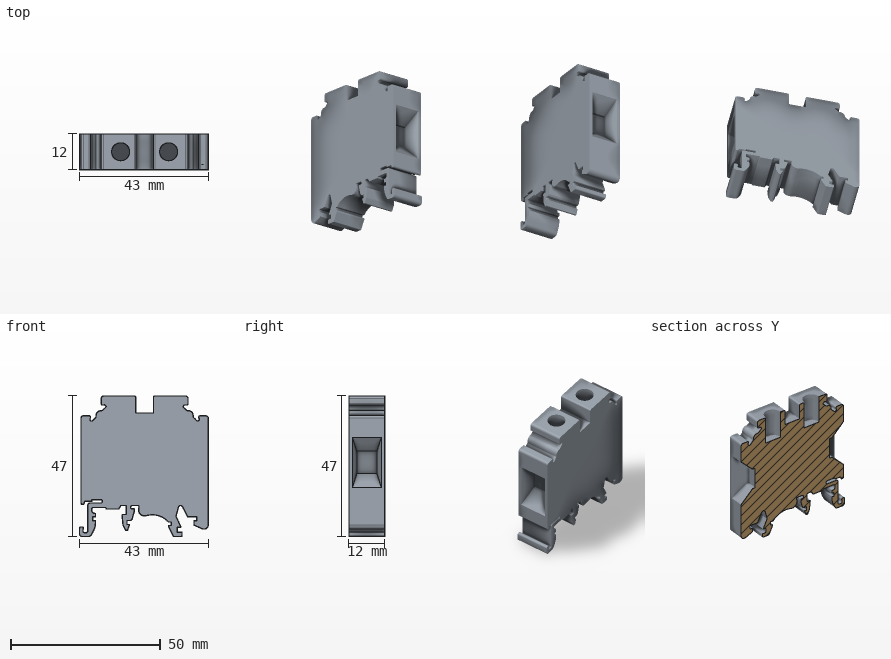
import cadquery as cq
import math


length = 43.0
thickness = 12.0
height = 46.95

body_left = 0.5
body_right = length
body_middle = (body_left + body_right) / 2
shoulder_z = 40.35
top_half_width = 14.5
centre_slot_half_width = 2.9
centre_slot_floor_z = 41.25

foot_roof_z = 10.37
latch_notch_top_z = 6.56
latch_notch_bottom_z = 5.34
latch_outer_x = 2.77
latch_inner_x = 5.37

screw_diameter = 6.0
screw_spacing = 16.0
screw_depth = 10.0

entry_centre_z = 24.75
entry_mouth_width = 9.7
entry_mouth_height = 16.8
entry_throat_width = 6.7
entry_throat_height = 7.5
funnel_depth = 4.8
throat_depth = 1.0


def left_shoulder():
    """Corners (x, z, radius) from the left wall up to the middle of the top slot."""
    top_left = body_middle - top_half_width
    slot_left = body_middle - centre_slot_half_width
    return [
        (body_left, shoulder_z, 0.85),
        (3.75, shoulder_z, 0.6),
        (3.75, 39.6, 0),
        (3.6, 39.4, 0),
        (3.6, 38.62, 0.35),
        (4.25, 38.62, 0.2),
        (5.5, 39.85, 0.4),
        (5.58, 42.06, 1.7),
        (7.65, 42.06, 0.7),
        (8.98, 43.37, 0.2),
        (8.4, 43.97, 0.15),
        (8.2, 43.85, 0),
        (top_left, 43.85, 0.5),
        (top_left, height, 0.85),
        (slot_left, height, 0.55),
        (slot_left, centre_slot_floor_z, 0),
    ]


def mirrored(corners):
    """The same corners on the other side of the housing, in reverse order."""
    return [(2 * body_middle - x, z, radius) for x, z, radius in reversed(corners)]


def right_foot():
    """Fixed jaw under the right wall, and the V-shaped gap beside it."""
    return [
        (body_right, 1.7, 1.45),
        (38.2, 3.83, 0.2),
        (38.2, latch_notch_bottom_z, 0),
        (39.07, latch_notch_bottom_z, 0),
        (39.07, latch_notch_top_z, 0),
        (36.1, latch_notch_top_z, 0.3),
        (34.15, foot_roof_z, 0.7),
        (33.2, foot_roof_z, 0.65),
    ]


def middle_foot():
    """Notched foot right of the arch, followed by the arch and its rounded left end."""
    return [
        (32.25, 6.75, 0.4),
        (33.98, 3.1, 0.2),
        (32.67, 3.1, 0),
        (32.67, 1.55, 0),
        (34.25, 1.55, 0.2),
        (34.25, 0, 0.4),
        (31.4, 0, 0.3),
        (29.75, 3.2, 0.2),
        (29.75, 3.76, 0.25),
        (30.6, 3.76, 0),
        (30.6, 4.85, 0),
        (29.7, 4.85, 0),
        (26.8, 8.05, 7.15),
        (19.7, 6.35, 2.0),
        (19.72, 9.6, 0),
        (19.87, 9.7, 0),
    ]


def rail_prong():
    """Narrow prong between the arch and the latch."""
    return [
        (19.87, foot_roof_z, 0.25),
        (17.12, foot_roof_z, 0.45),
        (17.12, 9.32, 0.35),
        (18.33, 9.32, 0.25),
        (18.33, 8.43, 0),
        (17.6, 5.8, 0.6),
        (17.1, latch_notch_bottom_z, 0),
        (15.9, latch_notch_bottom_z, 0),
        (15.9, 4.1, 0),
        (16.8, 4.1, 0.1),
        (16.05, 2.1, 0.1),
        (15.4, 2.1, 0.1),
        (14.52, 3.8, 1.2),
        (14.15, 7.42, 0.35),
        (15.57, 7.42, 0),
        (15.57, foot_roof_z, 0.1),
        (13.8, foot_roof_z, 0.1),
        (13.15, 9.16, 0),
    ]


def spring_latch():
    """Flexible latch arm with a hooked end, and the slit that frees it from the housing."""
    return [
        (9.0, 9.16, 0),
        (8.75, 9.68, 0),
        (4.15, 9.68, 0.45),
        (4.15, 7.95, 0.9),
        (5.1, 7.8, 0),
        (latch_inner_x, 7.8, 0),
        (latch_inner_x, latch_notch_top_z, 0.2),
        (4.5, latch_notch_top_z, 0),
        (4.5, latch_notch_bottom_z, 0),
        (latch_inner_x, latch_notch_bottom_z, 0),
        (latch_inner_x, 3.16, 4.85),
        (3.7, 0, 1.3),
        (0, 0, 0.95),
        (0, 3.28, 0.6),
        (1.4, 3.28, 0.6),
        (1.4, 2.6, 0),
        (1.2, 2.5, 0),
        (1.2, 1.36, 0.5),
        (latch_outer_x, 1.36, 0.5),
        (latch_outer_x, 11.23, 0.75),
        (7.6, 11.23, 0.4),
        (7.6, 12.27, 0.4),
        (4.15, 12.27, 0),
        (4.15, 11.75, 0),
        (1.75, 11.75, 0),
        (1.5, 10.75, 0.4),
        (body_left, 10.75, 0.5),
    ]


def rounded_outline(corners):
    """Closed XZ outline through the corners, each rounded by a tangent arc of its radius."""
    outline = None
    for index, (x, z, radius) in enumerate(corners):
        previous_x, previous_z, _ = corners[index - 1]
        next_x, next_z, _ = corners[(index + 1) % len(corners)]
        corner = cq.Vector(x, z)
        back = (cq.Vector(previous_x, previous_z) - corner).normalized()
        ahead = (cq.Vector(next_x, next_z) - corner).normalized()
        half_angle = back.getAngle(ahead) / 2
        tangent_length = radius / math.tan(half_angle)
        start = corner + back * tangent_length
        if outline is None:
            outline = cq.Workplane("XZ", origin=(0, thickness / 2, 0)).moveTo(start.x, start.y)
        else:
            outline = outline.lineTo(start.x, start.y)
        if radius > 0:
            apex_distance = radius / math.sin(half_angle) - radius
            apex = corner + (back + ahead).normalized() * apex_distance
            end = corner + ahead * tangent_length
            outline = outline.threePointArc((apex.x, apex.y), (end.x, end.y))
    return outline.close()


def housing():
    shoulder = left_shoulder()
    corners = shoulder + mirrored(shoulder) + right_foot() + middle_foot() + rail_prong() + spring_latch()
    return rounded_outline(corners).extrude(thickness)


def screw_shafts():
    return (
        cq.Workplane("XY", origin=(body_middle, 0, height))
        .pushPoints([(-screw_spacing / 2, 0), (screw_spacing / 2, 0)])
        .circle(screw_diameter / 2)
        .extrude(-screw_depth)
    )


def wire_entry():
    """Cutter for the wire entry in the left wall."""
    funnel = (
        cq.Workplane("YZ", origin=(body_left, 0, entry_centre_z))
        .rect(entry_mouth_width, entry_mouth_height)
        .workplane(offset=funnel_depth)
        .rect(entry_throat_width, entry_throat_height)
        .loft(ruled=True)
    )
    throat = (
        cq.Workplane("YZ", origin=(body_left + funnel_depth, 0, entry_centre_z))
        .rect(entry_throat_width, entry_throat_height)
        .extrude(throat_depth)
    )
    return funnel.union(throat)


left_entry = wire_entry()
right_entry = left_entry.mirror("YZ", (body_middle, 0, 0))
result = housing().cut(screw_shafts()).cut(left_entry).cut(right_entry)